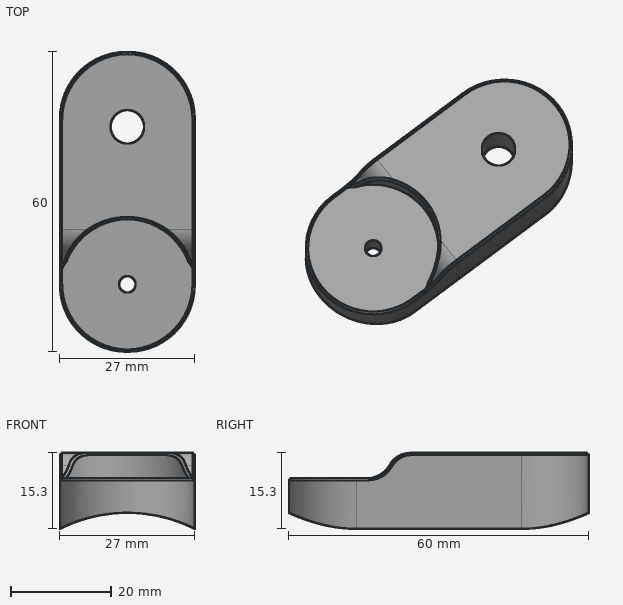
import cadquery as cq
import math

length = 60.0
width = 27.0
height = 15.25
step_depth = 5.05
seat_height = height - step_depth
blend_radius = 5.0
blend_start_y = -5.5
edge_chamfer = 0.5
saddle_radius = 30.0
seat_hole_diameter = 3.25
main_hole_diameter = 6.65
main_hole_y = 15.0

end_radius = width / 2
seat_y = -(length / 2 - end_radius)
pocket_radius = end_radius - edge_chamfer
blend_length = math.sqrt(4 * blend_radius * step_depth - step_depth**2)
blend_end_y = blend_start_y - blend_length
saddle_axis_z = -math.sqrt(saddle_radius**2 - end_radius**2)
reach = 2 * length


def stepped_block():
    """Full-width block with two tangent arcs joining the top face to the seat level."""
    half_angle = math.asin(blend_length / (2 * blend_radius)) / 2
    arc_run = blend_radius * math.sin(half_angle)
    arc_drop = blend_radius * (1 - math.cos(half_angle))
    middle = ((blend_start_y + blend_end_y) / 2, height - step_depth / 2)
    return (
        cq.Workplane("YZ")
        .moveTo(length / 2, 0)
        .lineTo(length / 2, height)
        .lineTo(blend_start_y, height)
        .threePointArc((blend_start_y - arc_run, height - arc_drop), middle)
        .threePointArc((blend_end_y + arc_run, seat_height + arc_drop), (blend_end_y, seat_height))
        .lineTo(-length / 2, seat_height)
        .lineTo(-length / 2, 0)
        .close()
        .extrude(end_radius, both=True)
    )


def vertical_cylinder(radius, y):
    return cq.Workplane("XY", origin=(0, y)).circle(radius).extrude(height)


def rounded_body():
    """Stepped block with round ends and a chamfer along its whole outer top rim."""
    body = cq.Workplane("XY").slot2D(length, width, 90).extrude(height).intersect(stepped_block())
    above_base = cq.selectors.BoxSelector((-reach, -reach, seat_height / 2), (reach, reach, reach))
    rim = body.edges("not(|Z or |X)").edges(above_base)
    return rim.chamfer(edge_chamfer)


def seat_pocket():
    """Round pocket above the seat, flared by a chamfer that follows the stepped top."""
    block = stepped_block()
    bored = block.cut(vertical_cylinder(pocket_radius, seat_y))
    on_bore = cq.selectors.BoxSelector(
        (-pocket_radius, seat_y - pocket_radius - edge_chamfer, seat_height / 2),
        (pocket_radius, seat_y + pocket_radius + edge_chamfer, reach),
    )
    mouth = bored.edges("not(|Z or |X)").edges(on_bore)
    flared = mouth.chamfer(edge_chamfer)
    above_seat = cq.Workplane("XY", origin=(0, 0, seat_height)).rect(reach, reach).extrude(height)
    return block.cut(flared).intersect(above_seat)


def saddle():
    """Cylinder along Y that hollows the underside and meets both side walls at the base."""
    profile = cq.Workplane("XZ").center(0, saddle_axis_z).circle(saddle_radius)
    return profile.extrude(length, both=True)


result = (
    rounded_body()
    .cut(seat_pocket())
    .cut(saddle())
    .cut(vertical_cylinder(seat_hole_diameter / 2, seat_y))
    .cut(vertical_cylinder(main_hole_diameter / 2, main_hole_y))
)